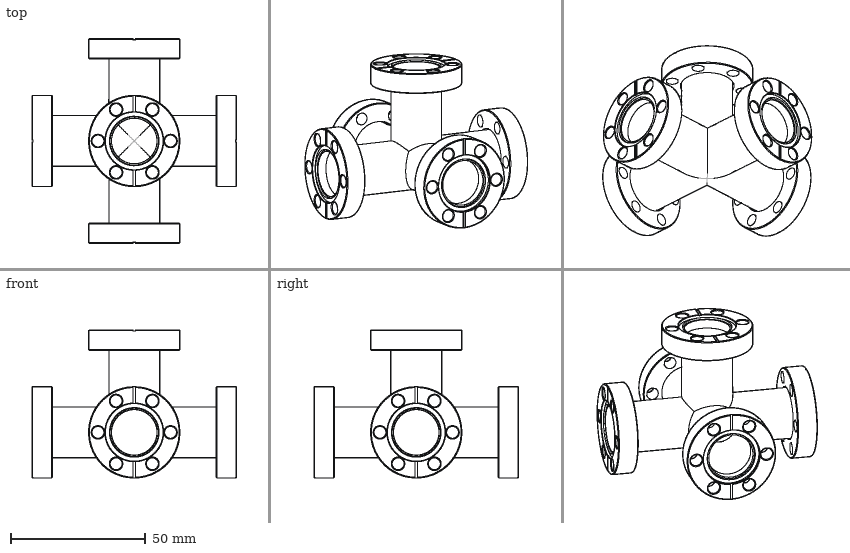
import cadquery as cq
span = 76.2
reach = span / 2

tube_diameter = 19.0
tube_radius = tube_diameter / 2
bore_radius = 8.45

flange_radius = 17.0
flange_thickness = 7.6
rim_chamfer = 0.3
flange_back = reach - flange_thickness

tube_end_depth = 4.6
tube_end = reach - tube_end_depth
socket_clearance = 0.45
socket_radius = tube_radius + socket_clearance

bolt_count = 6
bolt_circle_radius = 13.5
bolt_hole_radius = 2.2
bolt_hole_chamfer = 0.3

recess_radius = 10.75
recess_depth = 1.2
recess_chamfer = 0.19
knife_root_radius = 9.0
knife_bevel = 0.2
knife_tip_radius = knife_root_radius + knife_bevel
knife_tip_depth = 0.6
knife_root_depth = 1.2

groove_width = 0.85
groove_depth = 0.4

arm_directions = [(1, 0, 0), (-1, 0, 0), (0, 1, 0), (0, -1, 0), (0, 0, 1)]


def arm_plane(direction):
    """Plane at the crossing point whose normal runs outward along one arm."""
    across = (0, 1, 0) if direction[0] else (1, 0, 0)
    return cq.Plane(origin=(0, 0, 0), xDir=across, normal=direction)


def arm_rods(radius):
    """Five solid rods of one radius, joined at the crossing point."""
    rods = cq.Workplane("XY")
    for direction in arm_directions:
        rod = cq.Workplane(arm_plane(direction)).circle(radius).extrude(tube_end)
        rods = rods.add(rod)
    return rods.combine()


def make_tube_cross():
    """Five tubes meeting in one hollow body."""
    return arm_rods(tube_radius).cut(arm_rods(bore_radius))


def flange_ring():
    """Flange turned about Z, with its socket, recess and knife edge."""
    section = [
        (socket_radius, flange_back),
        (flange_radius - rim_chamfer, flange_back),
        (flange_radius, flange_back + rim_chamfer),
        (flange_radius, reach - rim_chamfer),
        (flange_radius - rim_chamfer, reach),
        (recess_radius + recess_chamfer, reach),
        (recess_radius, reach - recess_chamfer),
        (recess_radius, reach - recess_depth),
        (knife_tip_radius, reach - knife_tip_depth),
        (knife_root_radius, reach - knife_root_depth),
        (bore_radius, reach - knife_root_depth),
        (bore_radius, tube_end),
        (socket_radius, tube_end),
    ]
    return cq.Workplane("XZ").polyline(section).close().revolve(360, (0, 0), (0, 1))


def bolt_holes():
    """Ring of through holes with a chamfer at the sealing face."""
    section = [
        (0, flange_back),
        (bolt_hole_radius, flange_back),
        (bolt_hole_radius, reach - bolt_hole_chamfer),
        (bolt_hole_radius + bolt_hole_chamfer, reach),
        (0, reach),
    ]
    hole = cq.Workplane("XZ").polyline(section).close().revolve(360, (0, 0), (0, 1))
    first_hole = hole.translate((bolt_circle_radius, 0, 0))
    holes = cq.Workplane("XY")
    for index in range(bolt_count):
        holes = holes.add(first_hole.rotate((0, 0, 0), (0, 0, 1), index * 360 / bolt_count))
    return holes.combine()


def leak_check_grooves():
    """Two opposite grooves across the sealing face, clear of the knife edge."""
    floor = cq.Workplane("XY").workplane(offset=reach - groove_depth)
    strip = floor.rect(groove_width, 2 * flange_radius).extrude(groove_depth)
    return strip.cut(floor.circle(recess_radius).extrude(groove_depth))


def make_flange(direction):
    """One complete flange, placed at the end of one arm."""
    flange = flange_ring().cut(bolt_holes()).cut(leak_check_grooves())
    return flange.val().moved(cq.Location(arm_plane(direction)))


tube_cross = make_tube_cross()
flanges = [make_flange(direction) for direction in arm_directions]

result = cq.Compound.makeCompound([tube_cross.val(), *flanges])